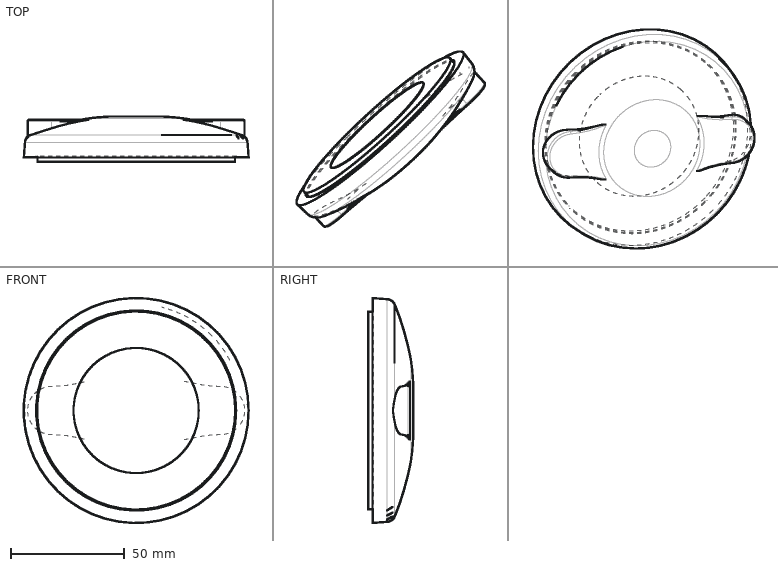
import cadquery as cq
import math


outer_radius = 49.5
total_height = 20.0
flange_height = 2.0
side_top_radius = 49.0
side_top_height = 8.4
dome_edge_radius = 46.8
dome_edge_height = 11.7
dome_mid_radius = 36.3
dome_mid_height = 15.4
crown_edge_radius = 22.2
crown_edge_height = 18.9
crown_flat_radius = 8.4
shoulder_bulge = 0.5

disc_radius = 87.0 / 2
groove_outer_radius = 88.0 / 2
groove_depth = 0.5
recess_radius = 55.0 / 2
recess_depth = 0.2

bar_base_height = 6.9
bar_top_height = 18.5
bar_end_radius = 10.6
bar_end_center = 37.1
bar_flare_radius = 49.5
bar_flare_length = 15.8
bar_edge_fillet = 0.9


def cylinder(radius, start, length):
    """Cylinder along +Y starting at the given height."""
    return cq.Workplane("XZ", origin=(0, start, 0)).circle(radius).extrude(-length)


def arc_middle(start, end, bulge):
    """Point halfway along an arc that bulges to the right of its chord."""
    dx = end[0] - start[0]
    dy = end[1] - start[1]
    chord = math.hypot(dx, dy)
    return (
        (start[0] + end[0]) / 2 + bulge * dy / chord,
        (start[1] + end[1]) / 2 - bulge * dx / chord,
    )


def crown_middle():
    """Point on the crown arc, which runs tangent into the flat top."""
    span = crown_edge_radius - crown_flat_radius
    drop = total_height - crown_edge_height
    radius = (span**2 + drop**2) / (2 * drop)
    angle = math.asin(span / radius) / 2
    return (
        crown_flat_radius + radius * math.sin(angle),
        total_height - radius * (1 - math.cos(angle)),
    )


def make_body():
    """Revolve the half section, with radius along X and height along Y."""
    side_top = (side_top_radius, side_top_height)
    dome_edge = (dome_edge_radius, dome_edge_height)
    crown_edge = (crown_edge_radius, crown_edge_height)
    return (
        cq.Workplane("XY")
        .lineTo(disc_radius, 0)
        .lineTo(disc_radius, flange_height)
        .lineTo(outer_radius, flange_height)
        .lineTo(*side_top)
        .threePointArc(arc_middle(side_top, dome_edge, shoulder_bulge), dome_edge)
        .threePointArc((dome_mid_radius, dome_mid_height), crown_edge)
        .threePointArc(crown_middle(), (crown_flat_radius, total_height))
        .lineTo(0, total_height)
        .close()
        .revolve(360, (0, 0, 0), (0, 1, 0))
    )


def make_bar():
    """Grip bar with rounded top edges."""
    flare_angle = math.asin(bar_flare_length / bar_flare_radius)

    def flare_point(angle):
        return (
            bar_end_center - bar_flare_radius * math.sin(angle),
            bar_end_radius + bar_flare_radius * (1 - math.cos(angle)),
        )

    mid_x, mid_z = flare_point(flare_angle / 2)
    root_x, root_z = flare_point(flare_angle)
    tip_x = bar_end_center + bar_end_radius
    return (
        cq.Workplane("XZ", origin=(0, bar_base_height, 0))
        .moveTo(-root_x, root_z)
        .lineTo(root_x, root_z)
        .threePointArc((mid_x, mid_z), (bar_end_center, bar_end_radius))
        .threePointArc((tip_x, 0), (bar_end_center, -bar_end_radius))
        .threePointArc((mid_x, -mid_z), (root_x, -root_z))
        .lineTo(-root_x, -root_z)
        .threePointArc((-mid_x, -mid_z), (-bar_end_center, -bar_end_radius))
        .threePointArc((-tip_x, 0), (-bar_end_center, bar_end_radius))
        .threePointArc((-mid_x, mid_z), (-root_x, root_z))
        .close()
        .extrude(bar_base_height - bar_top_height)
        .faces(">Y")
        .edges()
        .fillet(bar_edge_fillet)
    )


groove = cylinder(groove_outer_radius, flange_height, groove_depth).cut(
    cylinder(disc_radius, flange_height, groove_depth)
)
recess = cylinder(recess_radius, 0, recess_depth)

result = make_body().union(make_bar()).cut(groove).cut(recess)